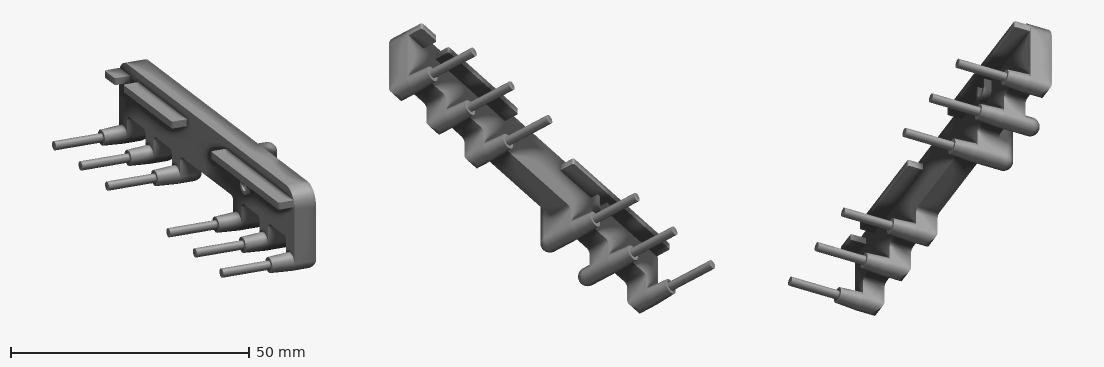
import cadquery as cq

LENGTH = 86.0
HEIGHT = 18.5
THICKNESS = 5.0
CORNER_RADIUS = 4.0
BODY_BOTTOM = 6.9
NOTCH_RADIUS = 1.0

FINGER_WIDTH = 4.0
FINGER_RADIUS = FINGER_WIDTH / 2
FINGER_PITCH = 13.0
OUTER_FINGER_X = LENGTH / 2 - FINGER_RADIUS
RIGHT_FINGERS = [OUTER_FINGER_X - i * FINGER_PITCH for i in (2, 1, 0)]
FINGER_XS = [-x for x in reversed(RIGHT_FINGERS)] + RIGHT_FINGERS

BOSS_LENGTH = 5.0
BOSS_TIP_DIAMETER = 3.4
PIN_DIAMETER = 2.0
PIN_LENGTH = 11.0

BACK_DEPTH = 4.0
DOME_Y = THICKNESS + BACK_DEPTH - FINGER_RADIUS
RIB_X = RIGHT_FINGERS[0]
BACK_PIN_X = RIGHT_FINGERS[1]

HEEL_RADIUS = 2.2
HEEL_XS = [x for x in FINGER_XS if x not in (RIB_X, BACK_PIN_X)]

RAIL_DEPTH = 3.5
RAIL_THICKNESS = 1.55
RAIL_TOP = HEIGHT - 2.15
RAIL_BOTTOM = RAIL_TOP - RAIL_THICKNESS
RAIL_EDGE_RADIUS = 0.4
RAIL_INSET = 0.35
RAIL_END = LENGTH / 2 - RAIL_INSET
RAIL_SPANS = [(-RAIL_END, -37.5), (-33.45, -9.55), (9.5, RAIL_END)]

LOOP_X = 22.0
LOOP_Z = HEIGHT - 5.8
LOOP_RADIUS = 2.0
LOOP_BORE_RADIUS = 1.2
LOOP_DEPTH = 1.8


def front_plane(y=0.0):
    """Workplane at depth y whose extrusions run toward -Y."""
    return cq.Workplane("XZ", origin=(0, y, 0))


def cylinder(x, z, y, radius, length):
    return front_plane(y).center(x, z).circle(radius).extrude(length)


def make_plate():
    body_height = HEIGHT - BODY_BOTTOM
    plate = (
        front_plane(THICKNESS)
        .center(0, BODY_BOTTOM + body_height / 2)
        .rect(LENGTH, body_height)
        .extrude(THICKNESS)
        .edges("|Y and >Z")
        .fillet(CORNER_RADIUS)
    )
    stem_height = BODY_BOTTOM - FINGER_RADIUS
    for x in FINGER_XS:
        stem = (
            front_plane(THICKNESS)
            .center(x, FINGER_RADIUS + stem_height / 2)
            .rect(FINGER_WIDTH, stem_height)
            .extrude(THICKNESS)
        )
        plate = plate.union(stem)
    plate = plate.clean()
    inner_corners = cq.selectors.BoxSelector(
        (-OUTER_FINGER_X, 0, BODY_BOTTOM - NOTCH_RADIUS),
        (OUTER_FINGER_X, THICKNESS, BODY_BOTTOM + NOTCH_RADIUS),
    )
    plate = plate.edges("|Y").edges(inner_corners).fillet(NOTCH_RADIUS)
    for x in FINGER_XS:
        plate = plate.union(cylinder(x, FINGER_RADIUS, THICKNESS, FINGER_RADIUS, THICKNESS))
    return plate


def make_pin(x):
    """Half profile of boss and pin, revolved about the finger-tip axis."""
    boss_tip_y = -BOSS_LENGTH
    pin_tip_y = boss_tip_y - PIN_LENGTH
    return (
        cq.Workplane("XY", origin=(x, 0, FINGER_RADIUS))
        .moveTo(0, THICKNESS / 2)
        .lineTo(FINGER_RADIUS, THICKNESS / 2)
        .lineTo(FINGER_RADIUS, 0)
        .lineTo(BOSS_TIP_DIAMETER / 2, boss_tip_y)
        .lineTo(PIN_DIAMETER / 2, boss_tip_y)
        .lineTo(PIN_DIAMETER / 2, pin_tip_y)
        .lineTo(0, pin_tip_y)
        .close()
        .revolve(360, (0, 0, 0), (0, 1, 0))
    )


def make_rib(x):
    low_z = FINGER_RADIUS
    high_z = HEIGHT - FINGER_RADIUS
    rib = (
        front_plane(DOME_Y)
        .center(x, HEIGHT / 2)
        .slot2D(HEIGHT, FINGER_WIDTH, 90)
        .extrude(DOME_Y)
    )
    ridge = (
        cq.Workplane("XY", origin=(x, DOME_Y, low_z))
        .circle(FINGER_RADIUS)
        .extrude(high_z - low_z)
    )
    rib = rib.union(ridge)
    for z in (low_z, high_z):
        rib = rib.union(cq.Workplane("XY", origin=(x, DOME_Y, z)).sphere(FINGER_RADIUS))
    return rib


def make_back_pin(x):
    shank = cylinder(x, FINGER_RADIUS, DOME_Y, FINGER_RADIUS, DOME_Y)
    dome = cq.Workplane("XY", origin=(x, DOME_Y, FINGER_RADIUS)).sphere(FINGER_RADIUS)
    return shank.union(dome)


def make_heel_cutter(x):
    """Material outside a quarter-round running along X under the finger."""
    return (
        cq.Workplane("YZ", origin=(x - FINGER_RADIUS, 0, 0))
        .moveTo(THICKNESS - HEEL_RADIUS, 0)
        .lineTo(THICKNESS, 0)
        .lineTo(THICKNESS, HEEL_RADIUS)
        .radiusArc((THICKNESS - HEEL_RADIUS, 0), HEEL_RADIUS)
        .close()
        .extrude(FINGER_WIDTH)
    )


def make_rail(left, right):
    return (
        front_plane()
        .center((left + right) / 2, (RAIL_TOP + RAIL_BOTTOM) / 2)
        .rect(right - left, RAIL_THICKNESS)
        .extrude(RAIL_DEPTH)
        .edges("|Z and <Y")
        .fillet(RAIL_EDGE_RADIUS)
    )


def make_loop():
    def tongue(radius):
        return (
            front_plane()
            .moveTo(LOOP_X - radius, RAIL_BOTTOM)
            .lineTo(LOOP_X - radius, LOOP_Z)
            .threePointArc((LOOP_X, LOOP_Z - radius), (LOOP_X + radius, LOOP_Z))
            .lineTo(LOOP_X + radius, RAIL_BOTTOM)
            .close()
            .extrude(LOOP_DEPTH)
        )

    return tongue(LOOP_RADIUS).cut(tongue(LOOP_BORE_RADIUS))


result = make_plate()
for finger_x in FINGER_XS:
    result = result.union(make_pin(finger_x))
for heel_x in HEEL_XS:
    result = result.cut(make_heel_cutter(heel_x))
result = result.union(make_rib(RIB_X)).union(make_back_pin(BACK_PIN_X))
for rail_left, rail_right in RAIL_SPANS:
    result = result.union(make_rail(rail_left, rail_right))
result = result.union(make_loop()).clean()